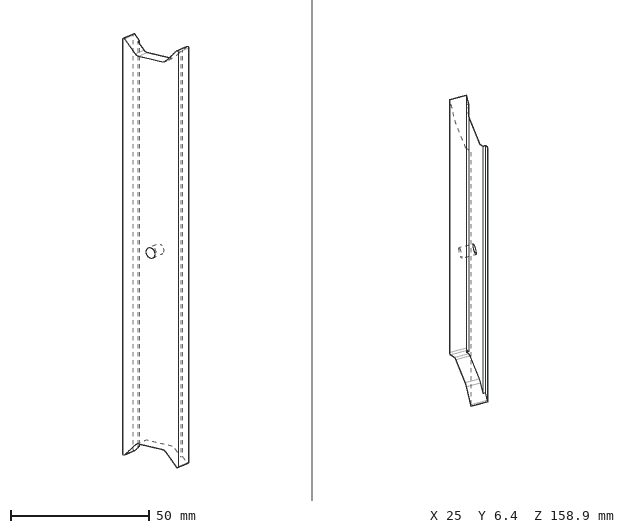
import cadquery as cq
import math

length = 158.9
width = 25.0
thickness = 6.4
notch_depth = 5.5
notch_corner_radius = 2.0
tip_radius = 0.5
lip_width = 2.9
channel_depth = 1.0
hole_diameter = 4.0

half_width = width / 2
half_length = length / 2

wall_slope = math.radians(45)
floor_half_width = half_width - tip_radius * math.sqrt(2) - notch_depth / math.tan(wall_slope)
floor_z = half_length - notch_depth

sharp_tip_z = floor_z + (half_width - floor_half_width) * math.tan(wall_slope)


def bar_with_notched_ends():
    """Bar along Z with a trapezoidal notch in both ends."""
    outline = [
        (-half_width, -sharp_tip_z),
        (-floor_half_width, -floor_z),
        (floor_half_width, -floor_z),
        (half_width, -sharp_tip_z),
        (half_width, sharp_tip_z),
        (floor_half_width, floor_z),
        (-floor_half_width, floor_z),
        (-half_width, sharp_tip_z),
    ]
    bar = cq.Workplane("XZ").polyline(outline).close().extrude(thickness / 2, both=True)
    floor_corners = bar.edges("|Y").edges("not(<X or >X)")
    bar = floor_corners.fillet(notch_corner_radius)
    return bar.edges("|Y").edges("<X or >X").fillet(tip_radius)


def back_channel():
    """Shallow full-length channel in the +Y face, leaving a lip on each side."""
    return cq.Workplane("XY").box(
        width - 2 * lip_width, channel_depth, length, centered=(True, False, True)
    ).translate((0, thickness / 2 - channel_depth, 0))


def center_hole():
    """Through hole along Y in the middle of the bar."""
    return cq.Workplane("XZ").circle(hole_diameter / 2).extrude(thickness, both=True)


result = bar_with_notched_ends().cut(back_channel()).cut(center_hole())